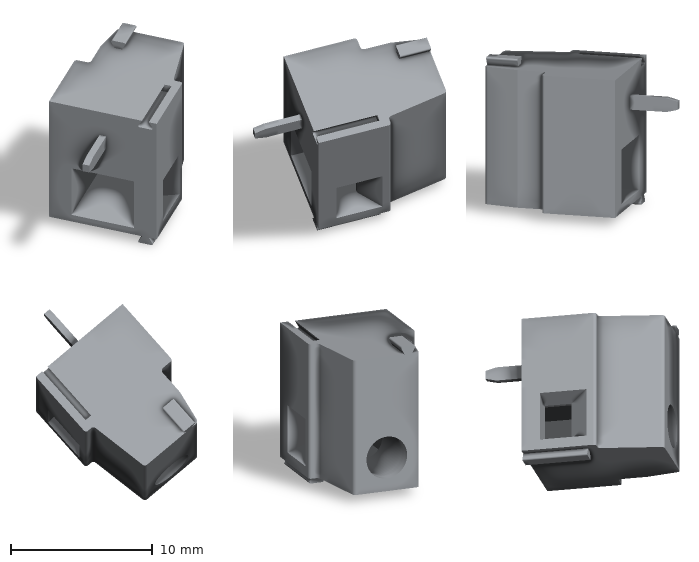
import cadquery as cq

BODY_HALF_WIDTH = 4.05
BODY_DEPTH = 10.0
BODY_HEIGHT = 10.0
SHOULDER_Y = 5.4
NECK_LEFT_X = -2.92
NECK_LEFT_BEND_Y = 7.5
NECK_RIGHT_X = 3.34
TOP_LEFT_X = -2.48
TOP_RIGHT_X = 2.5
SHOULDER_RADIUS = 0.2
NECK_ROOT_RADIUS = 0.25
NOSE_RADIUS = 0.25

POCKET_WIDTH = 4.7
POCKET_BOTTOM_Z = 0.57
POCKET_TOP_Z = 4.6
POCKET_DEPTH = SHOULDER_Y
SCREW_HOLE_DIAMETER = 3.1
SCREW_HOLE_Z = 2.5

ENTRY_NEAR_Y = 1.33
ENTRY_FAR_Y = 3.3
ENTRY_HALF_HEIGHT = 1.31
ENTRY_THROAT_LENGTH = 0.28
ENTRY_FLARE_Z = 0.45

DOVETAIL_HEIGHT = 0.6
DOVETAIL_RADIUS = 0.1
TOP_RAIL_X = -1.64
TOP_RAIL_NECK = 0.58
TOP_RAIL_WIDE = 1.2
TOP_RAIL_LENGTH = 2.3
SIDE_DOVETAIL_X = 3.2
SIDE_DOVETAIL_NECK = 0.51
SIDE_DOVETAIL_WIDE = 1.25
SIDE_DOVETAIL_LENGTH = 4.7

PIN_WIDTH = 0.5
PIN_HEIGHT = 1.0
PIN_CENTER_Z = 7.5
PIN_LENGTH = 3.5
PIN_TIP_LENGTH = 0.8
PIN_TIP_HEIGHT = 0.6


def round_edges_at(solid, points, radius):
    """Round the Z-parallel edges of the housing that pass through the given XY points."""
    reach = radius / 4
    for x, y in points:
        selector = cq.selectors.BoxSelector(
            (x - reach, y - reach, -BODY_HEIGHT),
            (x + reach, y + reach, 2 * BODY_HEIGHT),
        )
        solid = solid.edges("|Z").edges(selector).fillet(radius)
    return solid


def make_housing():
    left_shoulder = (-BODY_HALF_WIDTH, SHOULDER_Y)
    right_shoulder = (BODY_HALF_WIDTH, SHOULDER_Y)
    left_root = (NECK_LEFT_X, SHOULDER_Y)
    right_root = (NECK_RIGHT_X, SHOULDER_Y)
    left_nose = (TOP_LEFT_X, BODY_DEPTH)
    right_nose = (TOP_RIGHT_X, BODY_DEPTH)
    outline = [
        (-BODY_HALF_WIDTH, 0),
        (BODY_HALF_WIDTH, 0),
        right_shoulder,
        right_root,
        right_nose,
        left_nose,
        (NECK_LEFT_X, NECK_LEFT_BEND_Y),
        left_root,
        left_shoulder,
    ]
    housing = cq.Workplane("XY").polyline(outline).close().extrude(BODY_HEIGHT)
    housing = round_edges_at(housing, [left_shoulder, right_shoulder], SHOULDER_RADIUS)
    housing = round_edges_at(housing, [left_root, right_root], NECK_ROOT_RADIUS)
    return round_edges_at(housing, [left_nose, right_nose], NOSE_RADIUS)


def make_dovetail(neck, wide, length):
    """Dovetail with its neck on Z = 0, widening upward, running from Y = 0 to +Y."""
    outline = [
        (-neck / 2, 0),
        (neck / 2, 0),
        (wide / 2, DOVETAIL_HEIGHT),
        (-wide / 2, DOVETAIL_HEIGHT),
    ]
    bar = cq.Workplane("XZ").polyline(outline).close().extrude(-length)
    return bar.faces(">Z").edges("|Y").fillet(DOVETAIL_RADIUS)


def make_top_rail():
    rail = make_dovetail(TOP_RAIL_NECK, TOP_RAIL_WIDE, TOP_RAIL_LENGTH)
    return rail.translate((TOP_RAIL_X, BODY_DEPTH - TOP_RAIL_LENGTH, BODY_HEIGHT))


def make_side_dovetail(neck_z):
    """Downward-widening dovetail used for the bottom rail and for the matching top groove."""
    bar = make_dovetail(SIDE_DOVETAIL_NECK, SIDE_DOVETAIL_WIDE, SIDE_DOVETAIL_LENGTH)
    return bar.mirror("XY").translate((SIDE_DOVETAIL_X, 0, neck_z))


def make_pocket():
    return cq.Workplane("XY").box(
        POCKET_WIDTH,
        POCKET_DEPTH,
        POCKET_TOP_Z - POCKET_BOTTOM_Z,
        centered=(True, False, False),
    ).translate((0, 0, POCKET_BOTTOM_Z))


def make_screw_hole():
    plane = cq.Workplane("XZ").center(0, SCREW_HOLE_Z)
    return plane.circle(SCREW_HOLE_DIAMETER / 2).extrude(-BODY_DEPTH)


def make_wire_entry():
    """Straight throat beside the pocket, then a flare; the far side opens at 45 degrees."""
    throat_end_x = POCKET_WIDTH / 2 + ENTRY_THROAT_LENGTH
    flare_length = BODY_HALF_WIDTH - throat_end_x
    throat_width = ENTRY_FAR_Y - ENTRY_NEAR_Y
    throat_height = 2 * ENTRY_HALF_HEIGHT
    throat_center_y = (ENTRY_FAR_Y + ENTRY_NEAR_Y) / 2
    throat = cq.Workplane("XY").box(
        throat_end_x, throat_width, throat_height, centered=(False, True, True)
    ).translate((0, throat_center_y, SCREW_HOLE_Z))
    flare = (
        cq.Workplane("YZ", origin=(throat_end_x, throat_center_y, SCREW_HOLE_Z))
        .rect(throat_width, throat_height)
        .workplane(offset=flare_length)
        .center(flare_length / 2, 0)
        .rect(throat_width + flare_length, throat_height + 2 * ENTRY_FLARE_Z)
        .loft(ruled=True)
    )
    return throat.union(flare)


def make_pin():
    tip_start_y = PIN_TIP_LENGTH - PIN_LENGTH
    outline = [
        (0, -PIN_HEIGHT / 2),
        (0, PIN_HEIGHT / 2),
        (tip_start_y, PIN_HEIGHT / 2),
        (-PIN_LENGTH, PIN_TIP_HEIGHT / 2),
        (-PIN_LENGTH, -PIN_TIP_HEIGHT / 2),
        (tip_start_y, -PIN_HEIGHT / 2),
    ]
    profile = cq.Workplane("YZ", origin=(0, 0, PIN_CENTER_Z)).polyline(outline).close()
    return profile.extrude(PIN_WIDTH / 2, both=True)


result = (
    make_housing()
    .cut(make_pocket())
    .cut(make_screw_hole())
    .cut(make_wire_entry())
    .cut(make_side_dovetail(BODY_HEIGHT))
    .union(make_side_dovetail(0))
    .union(make_top_rail())
    .union(make_pin())
)